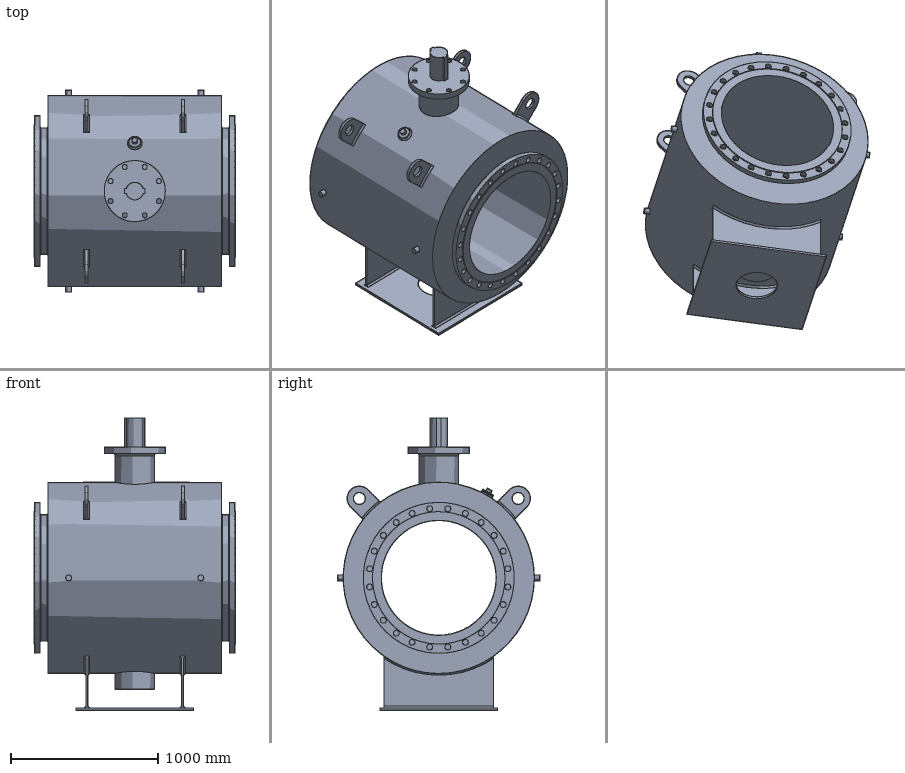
import cadquery as cq

overall_length = 1372.0
stem_top_z = 1087.0
base_bottom_z = -900.0

bore_diameter = 780.0
body_diameter = 1300.0
body_length = 1180.0
body_radius = body_diameter / 2

end_neck_diameter = 860.0
end_weld_size = 5.0
end_flange_diameter = 1025.0
end_flange_thickness = 35.0
raised_face_diameter = 900.0
raised_face_height = 5.0
end_bolt_count = 24
end_bolt_hole_diameter = 40.0
end_bolt_circle_diameter = 948.0

trunnion_diameter = 270.0
lower_trunnion_z = -760.0
lower_trunnion_chamfer = 4.0
top_flange_diameter = 415.0
top_flange_top_z = 889.0
top_flange_thickness = 44.0
top_weld_diameter = 280.0
top_weld_root_diameter = 260.0
top_weld_height = 18.0
top_bolt_count = 8
top_bolt_hole_diameter = 34.0
top_bolt_circle_diameter = 355.0

stem_diameter = 120.0
key_span = 140.0
key_width = 34.0

lug_thickness = 20.0
lug_spacing = 656.0
lug_radius = 83.0
lug_hole_diameter = 80.0
lug_hole_distance = 763.0
lug_tilt = 45

base_side = 800.0
base_thickness = 15.0
base_hole_diameter = 280.0
leg_thickness = 14.0
leg_spacing = 650.0
leg_width = 747.0
weld_size = 12.0

pin_diameter = 40.0
pin_spacing = 899.0
pin_tip_span = 1374.0

vent_tilt = 30
vent_weld_diameter = 100.0
vent_collar_diameter = 78.0
vent_weld_height = 10.0
vent_disc_diameter = 83.0
vent_disc_bottom = 664.0
vent_disc_top = 672.0
vent_plug_diameter = 38.0
vent_plug_top = 694.0

embed = 20.0


def x_cylinder(diameter, length):
    """Cylinder on the bore axis, centred on the origin."""
    return cq.Workplane("YZ").circle(diameter / 2).extrude(length / 2, both=True)


def z_cylinder(diameter, bottom, top):
    """Cylinder on the Z axis between two heights."""
    return cq.Workplane("XY").workplane(offset=bottom).circle(diameter / 2).extrude(top - bottom)


def z_cone(bottom_diameter, top_diameter, bottom, top):
    """Truncated cone on the Z axis between two heights."""
    profile = [(0, bottom), (bottom_diameter / 2, bottom), (top_diameter / 2, top), (0, top)]
    return cq.Workplane("XZ").polyline(profile).close().revolve(360, (0, 0), (0, 1))


def fillet_weld_profile(plate_x, plate_thickness, root, tip):
    """Outline of the weld beads on both sides of a plate, widest at the root."""
    tip_half = plate_thickness / 2
    root_half = tip_half + weld_size
    return [
        (plate_x - root_half, root),
        (plate_x + root_half, root),
        (plate_x + tip_half, tip),
        (plate_x - tip_half, tip),
    ]


def body_weld(plate_x, plate_thickness, width):
    """Weld beads following the top of the body on both sides of a crosswise plate."""
    ring = (
        cq.Workplane("XY")
        .polyline(fillet_weld_profile(plate_x, plate_thickness, body_radius, body_radius + weld_size))
        .close()
        .revolve(360, (0, 0), (1, 0))
    )
    zone = cq.Workplane("XY").box(body_length, width, body_diameter, centered=(True, True, False))
    return ring.intersect(zone)


def make_end():
    """Neck, flange and raised face on the +X end of the body, with weld beads along the neck."""
    body_end = body_length / 2
    face_x = overall_length / 2
    flange_outer = face_x - raised_face_height
    flange_inner = flange_outer - end_flange_thickness
    neck_radius = end_neck_diameter / 2
    weld_radius = neck_radius + end_weld_size
    profile = [
        (body_end - embed, 0),
        (body_end - embed, weld_radius),
        (body_end, weld_radius),
        (body_end + end_weld_size, neck_radius),
        (flange_inner - end_weld_size, neck_radius),
        (flange_inner, weld_radius),
        (flange_inner, end_flange_diameter / 2),
        (flange_outer, end_flange_diameter / 2),
        (flange_outer, raised_face_diameter / 2),
        (face_x, raised_face_diameter / 2),
        (face_x, 0),
    ]
    end = cq.Workplane("XY").polyline(profile).close().revolve(360, (0, 0), (1, 0))
    bolt_holes = (
        cq.Workplane("YZ")
        .workplane(offset=flange_inner)
        .polarArray(end_bolt_circle_diameter / 2, 180 / end_bolt_count, 360, end_bolt_count)
        .circle(end_bolt_hole_diameter / 2)
        .extrude(end_flange_thickness)
    )
    return end.cut(bolt_holes)


def make_shell():
    """Body cylinder with matching flanged ends."""
    end = make_end()
    return x_cylinder(body_diameter, body_length).union(end).union(end.mirror("YZ"))


def make_stem_column():
    """Lower trunnion, upper trunnion with its mounting flange, and the keyed stem."""
    flange_bottom = top_flange_top_z - top_flange_thickness
    weld_bottom = flange_bottom - top_weld_height
    column = z_cylinder(trunnion_diameter, lower_trunnion_z, weld_bottom)
    column = column.faces("<Z").chamfer(lower_trunnion_chamfer)
    column = column.union(z_cone(top_weld_root_diameter, top_weld_diameter, weld_bottom, flange_bottom))
    flange = z_cylinder(top_flange_diameter, flange_bottom, top_flange_top_z)
    bolt_holes = (
        cq.Workplane("XY")
        .workplane(offset=flange_bottom)
        .polarArray(top_bolt_circle_diameter / 2, 180 / top_bolt_count, 360, top_bolt_count)
        .circle(top_bolt_hole_diameter / 2)
        .extrude(top_flange_thickness)
    )
    column = column.union(flange.cut(bolt_holes))
    stem = z_cylinder(stem_diameter, flange_bottom, stem_top_z)
    keys = (
        cq.Workplane("XY")
        .workplane(offset=flange_bottom)
        .rect(key_span, key_width)
        .extrude(stem_top_z - flange_bottom)
    )
    return column.union(stem).union(keys)


def make_lug(x, tilt):
    """Lifting eye with weld beads at its root, leaning from +Z by the tilt about the bore axis."""
    root = body_radius - embed
    plate = (
        cq.Workplane("YZ")
        .moveTo(-lug_radius, root)
        .lineTo(lug_radius, root)
        .lineTo(lug_radius, lug_hole_distance)
        .threePointArc((0, lug_hole_distance + lug_radius), (-lug_radius, lug_hole_distance))
        .close()
        .extrude(lug_thickness / 2, both=True)
        .translate((x, 0, 0))
    )
    hole = (
        cq.Workplane("YZ")
        .center(0, lug_hole_distance)
        .circle(lug_hole_diameter / 2)
        .extrude(lug_thickness / 2, both=True)
        .translate((x, 0, 0))
    )
    beads = body_weld(x, lug_thickness, 2 * lug_radius)
    return plate.cut(hole).union(beads).rotate((0, 0, 0), (1, 0, 0), tilt)


def make_base():
    """Base plate with a central clearance hole."""
    base_top = base_bottom_z + base_thickness
    plate = cq.Workplane("XY").box(base_side, base_side, base_thickness, centered=(True, True, False))
    plate = plate.translate((0, 0, base_bottom_z))
    return plate.cut(z_cylinder(base_hole_diameter, base_bottom_z, base_top))


def make_leg(x):
    """Upright plate between base and body, with weld beads along its foot and along the body."""
    base_top = base_bottom_z + base_thickness
    plate = (
        cq.Workplane("XY")
        .box(leg_thickness, leg_width, -base_top, centered=(True, True, False))
        .translate((x, 0, base_top))
    )
    plate = plate.cut(x_cylinder(body_diameter - 2 * embed, body_length))
    foot_beads = (
        cq.Workplane("XZ")
        .polyline(fillet_weld_profile(x, leg_thickness, base_top, base_top + weld_size))
        .close()
        .extrude(leg_width / 2, both=True)
    )
    body_beads = body_weld(x, leg_thickness, leg_width).mirror("XY")
    return plate.union(foot_beads).union(body_beads)


def make_pin(x, side):
    """Short round pin pointing along Y from the side of the body."""
    root = body_radius - embed
    pin = cq.Workplane("XY").circle(pin_diameter / 2).extrude(pin_tip_span / 2 - root)
    return pin.translate((0, 0, root)).rotate((0, 0, 0), (1, 0, 0), -90 * side).translate((x, 0, 0))


def make_vent():
    """Vent fitting on the body: welded collar, disc and round plug, leaning towards +Y."""
    weld_top = body_radius + vent_weld_height
    vent = z_cylinder(vent_weld_diameter, body_radius - embed, body_radius)
    vent = vent.union(z_cone(vent_weld_diameter, vent_collar_diameter, body_radius, weld_top))
    vent = vent.union(z_cylinder(vent_collar_diameter, weld_top, vent_disc_bottom))
    vent = vent.union(z_cylinder(vent_disc_diameter, vent_disc_bottom, vent_disc_top))
    vent = vent.union(z_cylinder(vent_plug_diameter, vent_disc_top, vent_plug_top))
    return vent.rotate((0, 0, 0), (1, 0, 0), -vent_tilt)


valve = make_shell().union(make_stem_column()).union(make_base()).union(make_vent())
for end in (-1, 1):
    valve = valve.union(make_leg(end * leg_spacing / 2))
    for side in (-1, 1):
        valve = valve.union(make_lug(end * lug_spacing / 2, -side * lug_tilt))
        valve = valve.union(make_pin(end * pin_spacing / 2, side))

result = valve.cut(x_cylinder(bore_diameter, overall_length))